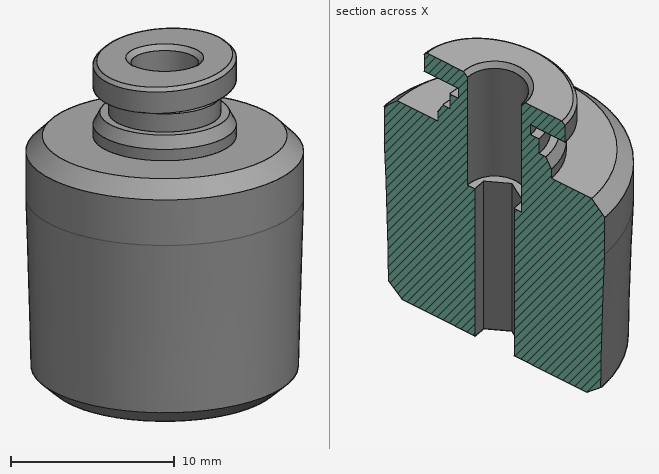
import cadquery as cq
import math

total_height = 21.1
lower_chamfer_top = 0.97
taper_top = 12.03
upper_chamfer_base = 15.0
body_top = 16.01
collar_cone_base = 16.75
collar_top = 17.53
sleeve_top = 18.72
head_base = 19.48

bottom_face_radius = 7.11
taper_bottom_radius = 8.19
body_radius = 8.5
body_top_radius = 7.5
collar_radius = 4.39
collar_top_radius = 3.97
sleeve_radius = 3.44
neck_radius = 2.79

head_half_width_x = 4.3
head_half_width_y = 5.42
head_chamfer = 0.23

bore_radius = 2.07
bore_chamfer = 0.32
bore_floor = taper_top
hex_across_flats = 3.0
hex_across_corners = hex_across_flats / math.cos(math.pi / 6)


def turned_body():
    """Revolve the tapered body, collar, sleeve and neck about Z."""
    half_profile = [
        (0, 0),
        (bottom_face_radius, 0),
        (taper_bottom_radius, lower_chamfer_top),
        (body_radius, taper_top),
        (body_radius, upper_chamfer_base),
        (body_top_radius, body_top),
        (collar_radius, body_top),
        (collar_radius, collar_cone_base),
        (collar_top_radius, collar_top),
        (sleeve_radius, collar_top),
        (sleeve_radius, sleeve_top),
        (neck_radius, sleeve_top),
        (neck_radius, head_base),
        (0, head_base),
    ]
    return cq.Workplane("XZ").polyline(half_profile).close().revolve(360, (0, 0), (0, 1))


def release_head():
    """Oval disc, longer along Y, chamfered around its top rim."""
    disc = (
        cq.Workplane("XY", origin=(0, 0, head_base))
        .ellipse(head_half_width_x, head_half_width_y)
        .extrude(total_height - head_base)
    )
    return disc.faces(">Z").edges().chamfer(head_chamfer)


def tube_bore():
    """Round blind bore from the top, with a chamfered mouth."""
    mouth_radius = bore_radius + bore_chamfer
    half_profile = [
        (0, bore_floor),
        (bore_radius, bore_floor),
        (bore_radius, total_height - bore_chamfer),
        (mouth_radius, total_height),
        (0, total_height),
    ]
    return cq.Workplane("XZ").polyline(half_profile).close().revolve(360, (0, 0), (0, 1))


def hex_hole():
    """Hexagonal hole from the bottom face up to the bore, corners on the X axis."""
    return (
        cq.Workplane("XY")
        .polygon(6, hex_across_corners)
        .extrude(bore_floor)
    )


result = turned_body().union(release_head()).cut(tube_bore()).cut(hex_hole())